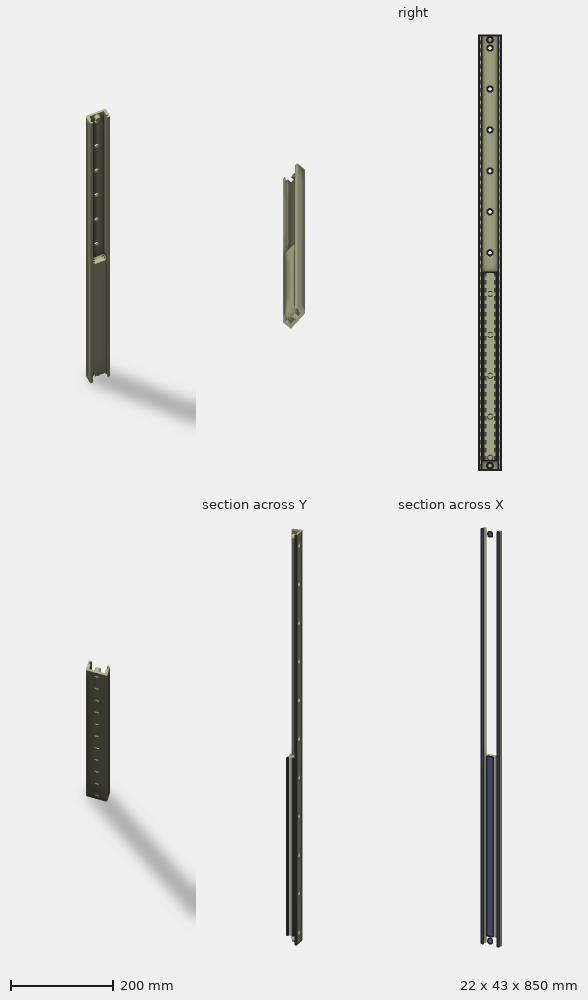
import cadquery as cq

RAIL_LENGTH = 850.0
RAIL_WIDTH = 43.0
RAIL_DEPTH = 21.0
WEB_THICKNESS = 4.0
FLANGE_THICKNESS = 6.0
OUTER_FILLET = 2.0

TRACK_X = 16.0
TRACK_RADIUS = 3.0

HOLE_DIAMETER = 10.0
HOLE_COUNT = 11
HOLE_END_DISTANCE = 25.0

SHANK_DIAMETER = 10.0
STOP_HEAD_DIAMETER = 12.0
STOP_HEAD_HEIGHT = 8.5
STOP_END_DISTANCE = 8.5

OVERALL_DEPTH = 22.0
SLIDER_LENGTH = 369.0
SLIDER_BOTTOM = 18.0
SLIDER_WIDTH = 24.0
SLIDER_BACK = 12.0
SLIDER_FACE_THICKNESS = 4.0
SLIDER_CHANNEL_WIDTH = 16.0
SLIDER_TRACK_DEPTH = 2.0

CAGE_BACK = 7.0
CAGE_WIDTH = 29.0
CAGE_THICKNESS = 2.5
CAGE_ARM_THICKNESS = 2.0
CAGE_ARM_FRONT = 19.0

flange_inner_y = RAIL_WIDTH / 2 - FLANGE_THICKNESS
slider_face_back = OVERALL_DEPTH - SLIDER_FACE_THICKNESS
slider_track_y = SLIDER_WIDTH / 2 + TRACK_RADIUS - SLIDER_TRACK_DEPTH
hole_pitch = (RAIL_LENGTH - 2 * HOLE_END_DISTANCE) / (HOLE_COUNT - 1)
stop_heights = (STOP_END_DISTANCE, RAIL_LENGTH - STOP_END_DISTANCE)


def bar(x_min, x_max, width, z_min, length):
    """A block standing along Z, centred on Y = 0."""
    block = cq.Workplane("XY").box(x_max - x_min, width, length, centered=(False, True, False))
    return block.translate((x_min, 0, z_min))


def cross_cylinder(diameter, x_min, x_max, z):
    """A cylinder along X on the middle line of the web."""
    start = cq.Vector(x_min, 0, z)
    return cq.Workplane(cq.Solid.makeCylinder(diameter / 2, x_max - x_min, start, cq.Vector(1, 0, 0)))


def track_rods(y, z_min, length):
    """The two rods along Z that cut a pair of ball tracks."""
    centers = [(TRACK_X, -y), (TRACK_X, y)]
    return cq.Workplane("XY").workplane(offset=z_min).pushPoints(centers).circle(TRACK_RADIUS).extrude(length)


def make_rail():
    rail = bar(0, RAIL_DEPTH, RAIL_WIDTH, 0, RAIL_LENGTH)
    rail = rail.edges("|Z").fillet(OUTER_FILLET)
    rail = rail.cut(bar(WEB_THICKNESS, RAIL_DEPTH, 2 * flange_inner_y, 0, RAIL_LENGTH))
    rail = rail.cut(track_rods(flange_inner_y, 0, RAIL_LENGTH))
    for i in range(HOLE_COUNT):
        z = HOLE_END_DISTANCE + i * hole_pitch
        rail = rail.cut(cross_cylinder(HOLE_DIAMETER, 0, WEB_THICKNESS, z))
    for z in stop_heights:
        rail = rail.cut(cross_cylinder(SHANK_DIAMETER, 0, WEB_THICKNESS, z))
    return rail


def make_stop(z):
    shank = cross_cylinder(SHANK_DIAMETER, 0, WEB_THICKNESS, z)
    head = cross_cylinder(STOP_HEAD_DIAMETER, WEB_THICKNESS, WEB_THICKNESS + STOP_HEAD_HEIGHT, z)
    return shank.union(head)


def make_slider():
    slider = bar(SLIDER_BACK, OVERALL_DEPTH, SLIDER_WIDTH, SLIDER_BOTTOM, SLIDER_LENGTH)
    slider = slider.cut(
        bar(SLIDER_BACK, slider_face_back, SLIDER_CHANNEL_WIDTH, SLIDER_BOTTOM, SLIDER_LENGTH)
    )
    return slider.cut(track_rods(slider_track_y, SLIDER_BOTTOM, SLIDER_LENGTH))


def make_cage():
    web_front = CAGE_BACK + CAGE_THICKNESS
    gap_width = CAGE_WIDTH - 2 * CAGE_ARM_THICKNESS
    cage = bar(CAGE_BACK, CAGE_ARM_FRONT, CAGE_WIDTH, SLIDER_BOTTOM, SLIDER_LENGTH)
    cage = cage.cut(bar(web_front, CAGE_ARM_FRONT, gap_width, SLIDER_BOTTOM, SLIDER_LENGTH))
    return cage.union(bar(web_front, slider_face_back, SLIDER_CHANNEL_WIDTH, SLIDER_BOTTOM, SLIDER_LENGTH))


rail = make_rail()
slider = make_slider()
cage = make_cage()
stops = [make_stop(z) for z in stop_heights]

result = cq.Compound.makeCompound(
    [rail.val(), slider.val(), cage.val(), *[stop.val() for stop in stops]]
)